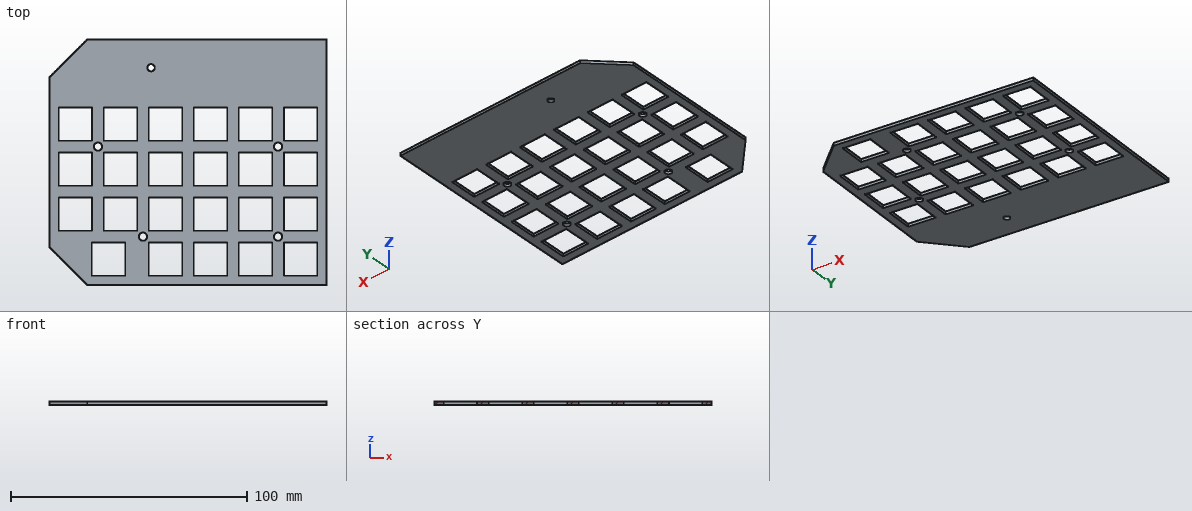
import cadquery as cq

plate_width = 117.25
plate_depth = 104.0
plate_thickness = 1.5
corner_cut = 16.0

cutout_size = 14.0
key_pitch = 19.05
grid_margin = 4.0
column_count = 6
row_count = 4
thumb_key_offset = 13.97
first_bottom_column = 2

screw_diameter = 3.4
screw_grid_positions = [(0.5, 2.5), (4.5, 2.5), (1.5, 0.5), (4.5, 0.5)]

upper_hole_diameter = 3.0
upper_hole_from_left = 43.0
upper_hole_from_top = 12.0

last_column_x = plate_width / 2 - grid_margin - cutout_size / 2
first_column_x = last_column_x - (column_count - 1) * key_pitch
first_row_y = -plate_depth / 2 + grid_margin + cutout_size / 2
upper_hole_centre = (
    -plate_width / 2 + upper_hole_from_left,
    plate_depth / 2 - upper_hole_from_top,
)


def grid_point(column, row):
    """Plate position of a grid location; columns count from the left, rows from the bottom."""
    return (first_column_x + column * key_pitch, first_row_y + row * key_pitch)


def make_plate():
    """Rectangular plate with both left-hand corners cut off at 45 degrees."""
    blank = cq.Workplane("XY").rect(plate_width, plate_depth).extrude(plate_thickness)
    return blank.edges("|Z and <X").chamfer(corner_cut)


def cut_key_openings(plate):
    """Square through openings: full upper rows, and a bottom row with an offset thumb key."""
    centres = [(first_column_x + thumb_key_offset, first_row_y)]
    for column in range(first_bottom_column, column_count):
        centres.append(grid_point(column, 0))
    for row in range(1, row_count):
        for column in range(column_count):
            centres.append(grid_point(column, row))
    openings = (
        cq.Workplane("XY")
        .pushPoints(centres)
        .rect(cutout_size, cutout_size)
        .extrude(plate_thickness)
    )
    return plate.cut(openings)


def cut_round_holes(plate, centres, diameter):
    """Round through holes of one diameter at the given centres."""
    holes = (
        cq.Workplane("XY")
        .pushPoints(centres)
        .circle(diameter / 2)
        .extrude(plate_thickness)
    )
    return plate.cut(holes)


screw_centres = [grid_point(column, row) for column, row in screw_grid_positions]

result = make_plate()
result = cut_key_openings(result)
result = cut_round_holes(result, screw_centres, screw_diameter)
result = cut_round_holes(result, [upper_hole_centre], upper_hole_diameter)